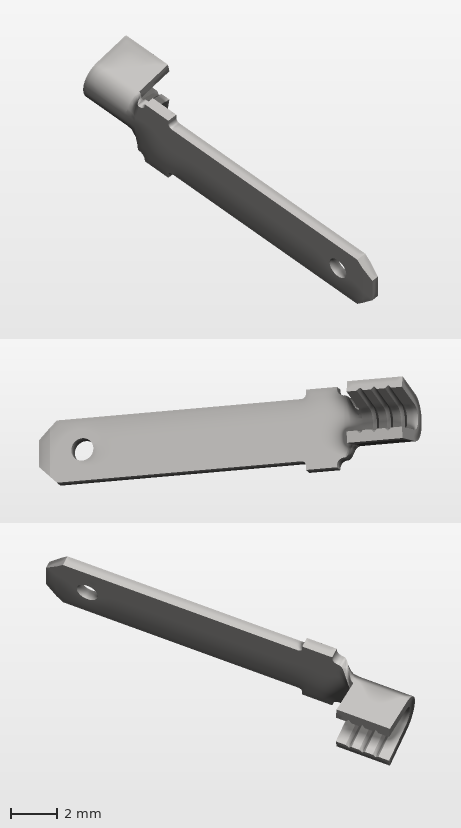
import cadquery as cq
import math

length = 17.27
sheet = 0.5
blade_width = 2.8
shoulder_width = 3.61

crimp_length = 2.52
crimp_depth = 2.76
bend_radius = 1.07
arm_splay = math.radians(10.5)

groove_count = 3
first_groove = 0.5
groove_pitch = 0.64
groove_width = 0.28
groove_depth = 0.14

neck_end = 3.35
neck_steps = 3

shoulder_start = 3.7
shoulder_end = 5.11
rear_fillet = 0.33
front_fillet = 0.2

tip_length = 0.83
tip_width = 1.23
tip_thickness = 0.35
taper_length = 0.52
hole_diameter = 1.0
hole_x = 15.28

inner_radius = bend_radius - sheet
splay_cos = math.cos(arm_splay)
splay_sin = math.sin(arm_splay)


def bend_end(radius):
    """(Y, Z) where an arc about the bend axis meets the upper arm."""
    return (bend_radius - radius * splay_sin, radius * splay_cos)


arm_length = (crimp_depth - bend_end(inner_radius)[0]) / splay_cos


def arm_end(radius):
    """(Y, Z) of the upper arm's end for a face at the given bend radius."""
    y, z = bend_end(radius)
    return (y + arm_length * splay_cos, z + arm_length * splay_sin)


def mirrored(point):
    """The matching point on the lower arm."""
    return (point[0], -point[1])


def make_crimp():
    """Constant U section, drawn around the outside and back along the inside."""
    return (
        cq.Workplane("YZ")
        .moveTo(*arm_end(bend_radius))
        .lineTo(*bend_end(bend_radius))
        .threePointArc((0, 0), mirrored(bend_end(bend_radius)))
        .lineTo(*mirrored(arm_end(bend_radius)))
        .lineTo(*mirrored(arm_end(inner_radius)))
        .lineTo(*mirrored(bend_end(inner_radius)))
        .threePointArc((sheet, 0), bend_end(inner_radius))
        .lineTo(*arm_end(inner_radius))
        .close()
        .extrude(crimp_length)
    )


def make_groove(start):
    """V-shaped cutter that follows the inner face of the crimp."""
    path = (
        cq.Workplane("YZ", origin=(start, 0, 0))
        .moveTo(*arm_end(inner_radius))
        .lineTo(*bend_end(inner_radius))
        .threePointArc((sheet, 0), mirrored(bend_end(inner_radius)))
        .lineTo(*mirrored(arm_end(inner_radius)))
    )
    tip_y, tip_z = arm_end(inner_radius)
    plane = cq.Plane(
        origin=(start, tip_y, tip_z),
        xDir=(1, 0, 0),
        normal=(0, -splay_cos, -splay_sin),
    )
    return (
        cq.Workplane(plane)
        .polyline([(0, 0), (groove_width, 0), (groove_width / 2, groove_depth)])
        .close()
        .sweep(path)
    )


def blend(start, end, share):
    """The point that lies the given share of the way from start to end."""
    return tuple(a + (b - a) * share for a, b in zip(start, end))


def ease(t):
    """S-curve from 0 to 1 that starts and ends level."""
    return t * t * (3 - 2 * t)


def make_neck():
    """Loft from the bend's section, through flatter and flatter arcs, to the blade."""
    neck = cq.Workplane("YZ", origin=(crimp_length, 0, 0))
    step_length = (neck_end - crimp_length) / neck_steps
    outer_start = bend_end(bend_radius)
    inner_start = bend_end(inner_radius)
    outer_end = (0, blade_width / 2)
    inner_end = (sheet, blade_width / 2)
    for step in range(neck_steps + 1):
        share = ease(step / neck_steps)
        outer = blend(outer_start, outer_end, share)
        inner = blend(inner_start, inner_end, share)
        if step > 0:
            neck = neck.workplane(offset=step_length)
        neck = neck.moveTo(*outer)
        if step < neck_steps:
            neck = neck.threePointArc((0, 0), mirrored(outer))
            neck = neck.lineTo(*mirrored(inner))
            neck = neck.threePointArc((sheet, 0), inner)
        else:
            neck = neck.lineTo(*mirrored(outer))
            neck = neck.lineTo(*mirrored(inner))
            neck = neck.lineTo(*inner)
        neck = neck.close()
    return neck.loft(combine=True)


def make_bar(start, end, width):
    """Flat bar in the blade's sheet, centred on Z = 0."""
    return (
        cq.Workplane("XY", origin=(start, 0, 0))
        .box(end - start, sheet, width, centered=(False, False, True))
    )


def make_tip_envelope():
    """Blade outline with cut corners, thinned by a taper on both faces."""
    half_width = blade_width / 2
    half_tip = tip_width / 2
    outline = (
        cq.Workplane("XZ")
        .polyline([
            (neck_end, -half_width),
            (length - tip_length, -half_width),
            (length, -half_tip),
            (length, half_tip),
            (length - tip_length, half_width),
            (neck_end, half_width),
        ])
        .close()
        .extrude(-sheet)
    )
    taper_depth = (sheet - tip_thickness) / 2
    profile = (
        cq.Workplane("XY")
        .polyline([
            (neck_end, 0),
            (length - taper_length, 0),
            (length, taper_depth),
            (length, sheet - taper_depth),
            (length - taper_length, sheet),
            (neck_end, sheet),
        ])
        .close()
        .extrude(half_width, both=True)
    )
    return outline.intersect(profile)


def make_blade():
    """Blade with filleted shoulders and the hole near its tip."""
    blade = make_tip_envelope().union(make_bar(shoulder_start, shoulder_end, shoulder_width))
    half_width = blade_width / 2
    for x, radius in ((shoulder_start, rear_fillet), (shoulder_end, front_fillet)):
        for z in (-half_width, half_width):
            corner = cq.selectors.NearestToPointSelector((x, sheet / 2, z))
            blade = blade.edges(corner).fillet(radius)
    hole = cq.Workplane("XZ").center(hole_x, 0).circle(hole_diameter / 2).extrude(-sheet)
    return blade.cut(hole)


crimp = make_crimp()
for index in range(groove_count):
    crimp = crimp.cut(make_groove(first_groove + index * groove_pitch))
result = crimp.union(make_neck()).union(make_blade())